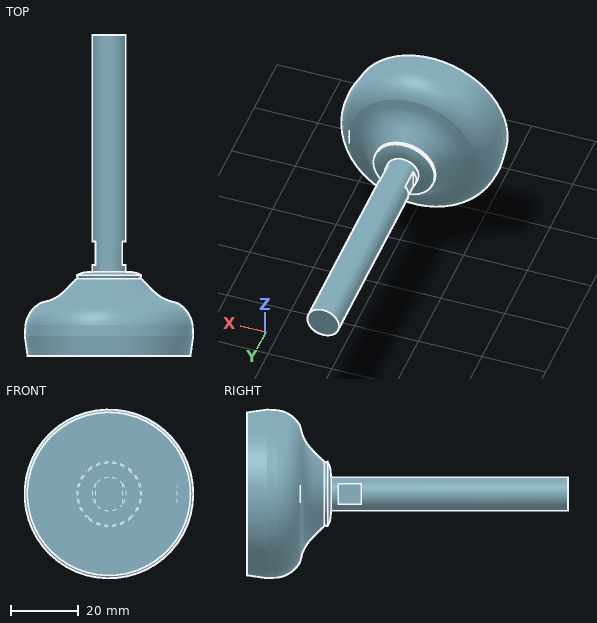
import cadquery as cq


total_length = 95.0
foot_diameter = 50.0
foot_radius = foot_diameter / 2

base_radius = 24.1
widest_height = 6.0
shoulder_radius = 24.8
shoulder_height = 9.1
dome_mid_radius = 23.6
dome_mid_height = 12.5
dome_top_radius = 20.1
dome_top_height = 15.8
valley_mid_radius = 15.6
valley_mid_height = 17.4
neck_radius = 12.9
neck_height = 19.5
foot_top_radius = 9.6
foot_top_height = 22.9

stem_diameter = 10.0
collar_bottom_radius = 9.2
collar_rim_radius = 9.6
collar_rim_height = 23.8
collar_mid_radius = 8.0
collar_mid_height = 24.6
collar_top_radius = 5.7
collar_top_height = 24.9

flats_width = 8.0
flats_start = 27.0
flats_end = 33.8


def revolve_about_y(profile):
    """Turn a closed radius-height profile about the Y axis."""
    return profile.close().revolve(360, (0, 0, 0), (0, 1, 0))


def make_foot():
    """Solid foot with a tapered side, rounded dome, concave flare and conical neck."""
    profile = (
        cq.Workplane("XY")
        .lineTo(base_radius, 0)
        .lineTo(foot_radius, widest_height)
        .lineTo(shoulder_radius, shoulder_height)
        .threePointArc((dome_mid_radius, dome_mid_height), (dome_top_radius, dome_top_height))
        .threePointArc((valley_mid_radius, valley_mid_height), (neck_radius, neck_height))
        .lineTo(foot_top_radius, foot_top_height)
        .lineTo(0, foot_top_height)
    )
    return revolve_about_y(profile)


def make_collar():
    """Domed collar that rests on the top of the foot."""
    profile = (
        cq.Workplane("XY")
        .moveTo(0, foot_top_height)
        .lineTo(collar_bottom_radius, foot_top_height)
        .lineTo(collar_rim_radius, collar_rim_height)
        .threePointArc((collar_mid_radius, collar_mid_height), (collar_top_radius, collar_top_height))
        .lineTo(0, collar_top_height)
    )
    return revolve_about_y(profile)


def make_flats_cutter():
    """Two blocks that leave the flats width standing between them."""
    flats_length = flats_end - flats_start
    flats_center = (flats_start + flats_end) / 2
    block_offset = (flats_width + stem_diameter) / 2
    return (
        cq.Workplane("XY")
        .pushPoints([(-block_offset, flats_center), (block_offset, flats_center)])
        .box(stem_diameter, flats_length, stem_diameter)
    )


def make_stem():
    """Round stem with its collar and a pair of wrench flats facing -X and +X."""
    rod = (
        cq.Workplane("XZ", origin=(0, foot_top_height, 0))
        .circle(stem_diameter / 2)
        .extrude(-(total_length - foot_top_height))
    )
    return rod.union(make_collar()).cut(make_flats_cutter())


foot = make_foot()
stem = make_stem()

result = cq.Compound.makeCompound([foot.val(), *stem.solids().vals()])